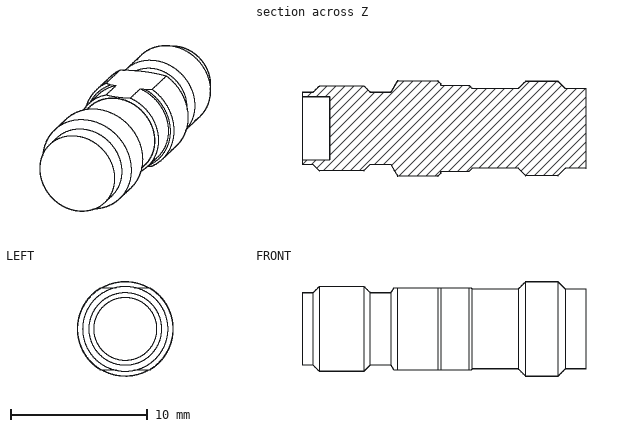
import cadquery as cq
import math

overall_length = 20.75

front_tube_radius = 2.65
front_bore_radius = 2.3
front_bore_depth = 2.0
front_collar_radius = 3.11
front_collar_start = 0.79
front_collar_end = 4.95

body_radius = 3.5
body_start = 6.47
body_lead_angle = 60.0
body_end = 10.13
body_edge_chamfer = 0.2
neck_radius = 3.15
neck_end = 12.4
neck_edge_chamfer = 0.2
across_flats = 6.02

rear_tube_radius = 2.93
rear_collar_radius = 3.47
rear_collar_start = 15.8
rear_collar_end = 19.24


def turned_section(start, end, radius, lead_length=0.0, lead_height=0.0, tail_chamfer=0.0):
    """Round section along X with an optional conical lead-in and a 45 degree tail."""
    outline = cq.Workplane("XY").moveTo(start, 0).lineTo(start, radius - lead_height)
    if lead_length > 0:
        outline = outline.lineTo(start + lead_length, radius)
    outline = outline.lineTo(end - tail_chamfer, radius)
    if tail_chamfer > 0:
        outline = outline.lineTo(end, radius - tail_chamfer)
    return outline.lineTo(end, 0).close().revolve(360, (0, 0, 0), (1, 0, 0))


def collared_tube(start, end, tube_radius, collar_start, collar_end, collar_radius):
    """Plain tube with a collar whose 45 degree cones run down to the tube."""
    height = collar_radius - tube_radius
    tube = turned_section(start, end, tube_radius)
    collar = turned_section(collar_start, collar_end, collar_radius, height, height, height)
    return tube.union(collar)


def wrench_body():
    """Chamfered body and neck with two parallel flats facing up and down."""
    lead_height = body_radius - front_tube_radius
    lead_length = lead_height / math.tan(math.radians(body_lead_angle))
    body = turned_section(body_start, body_end, body_radius, lead_length, lead_height, body_edge_chamfer)
    neck = turned_section(body_end, neck_end, neck_radius, tail_chamfer=neck_edge_chamfer)
    flats_length = neck_end - body_start
    flats_envelope = cq.Workplane("XY").box(flats_length, 2 * body_radius, across_flats)
    flats_envelope = flats_envelope.translate((body_start + flats_length / 2, 0, 0))
    return body.union(neck).intersect(flats_envelope)


front_end = collared_tube(
    0, body_end, front_tube_radius,
    front_collar_start, front_collar_end, front_collar_radius,
)
rear_end = collared_tube(
    body_end, overall_length, rear_tube_radius,
    rear_collar_start, rear_collar_end, rear_collar_radius,
)

front_bore = turned_section(0, front_bore_depth, front_bore_radius)

result = front_end.union(wrench_body()).union(rear_end).cut(front_bore)